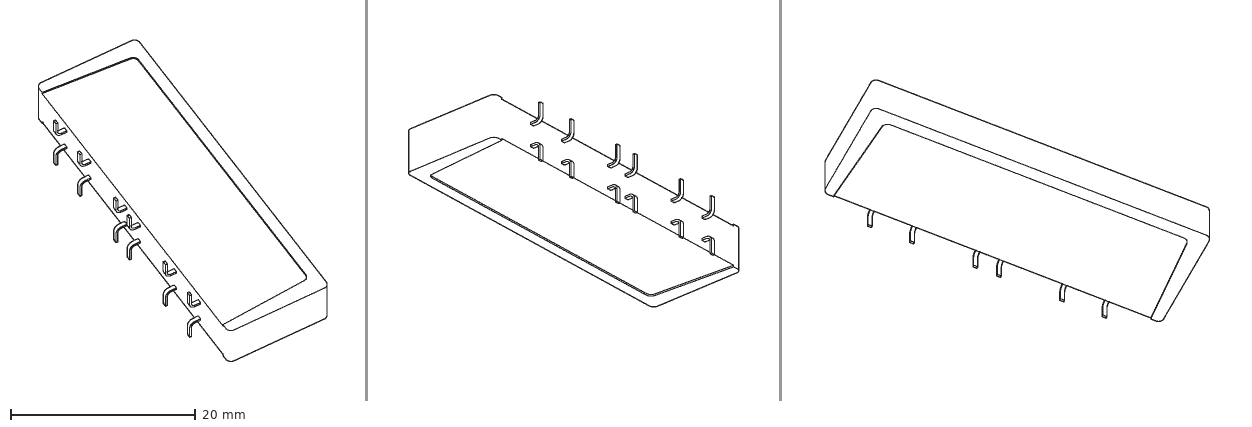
import cadquery as cq

body_length = 40.65
body_depth = 12.7
body_height = 5.3
body_corner_radius = 0.65

recess_depth = 0.2
recess_front_width = 38.1
recess_back_width = 36.5
recess_back_margin = 1.4
recess_corner_radius = 0.7

pin_width = 0.5
pin_thickness = 0.25
pin_reach = 1.4
pin_span = 7.1
pin_bottom_height = 1.25
pin_bend_radius = 0.5
pin_embed = 0.4

inner_pin_x = 1.42
inner_pin_spacing = 7.6
outer_pin_spacing = 5.1
middle_pin_x = inner_pin_x + inner_pin_spacing
outer_pin_x = middle_pin_x + outer_pin_spacing

front_y = -body_depth / 2
back_y = body_depth / 2


def make_body():
    block = cq.Workplane("XY").box(body_length, body_depth, body_height)
    return block.edges("|Z").fillet(body_corner_radius)


def make_recess():
    """Tapered cutter that sinks into the top face of the body."""
    recess_back_y = back_y - recess_back_margin
    cutter = (
        cq.Workplane("XY", origin=(0, 0, body_height / 2 - recess_depth))
        .moveTo(-recess_front_width / 2, front_y)
        .lineTo(recess_front_width / 2, front_y)
        .lineTo(recess_back_width / 2, recess_back_y)
        .lineTo(-recess_back_width / 2, recess_back_y)
        .close()
        .extrude(recess_depth)
    )
    return cutter.edges("|Z and >Y").fillet(recess_corner_radius)


def make_pin(x):
    """Upper pin that leaves the front face and bends upwards."""
    outer_y = front_y - pin_reach
    tip_z = pin_span / 2
    outer_bend_radius = pin_bend_radius + pin_thickness
    bend_y = outer_y + outer_bend_radius
    bend_z = pin_bottom_height + outer_bend_radius
    path = (
        cq.Workplane("YZ", origin=(x, 0, 0))
        .moveTo(front_y + pin_embed, pin_bottom_height)
        .lineTo(bend_y, pin_bottom_height)
        .radiusArc((outer_y, bend_z), outer_bend_radius)
        .lineTo(outer_y, tip_z)
        .lineTo(outer_y + pin_thickness, tip_z)
        .lineTo(outer_y + pin_thickness, bend_z)
        .radiusArc((bend_y, pin_bottom_height + pin_thickness), -pin_bend_radius)
        .lineTo(front_y + pin_embed, pin_bottom_height + pin_thickness)
        .close()
    )
    return path.extrude(pin_width / 2, both=True)


result = make_body()

recess = make_recess()
result = result.cut(recess).cut(recess.mirror("XY"))

for distance in (inner_pin_x, middle_pin_x, outer_pin_x):
    for x in (-distance, distance):
        pin = make_pin(x)
        result = result.union(pin).union(pin.mirror("XY"))